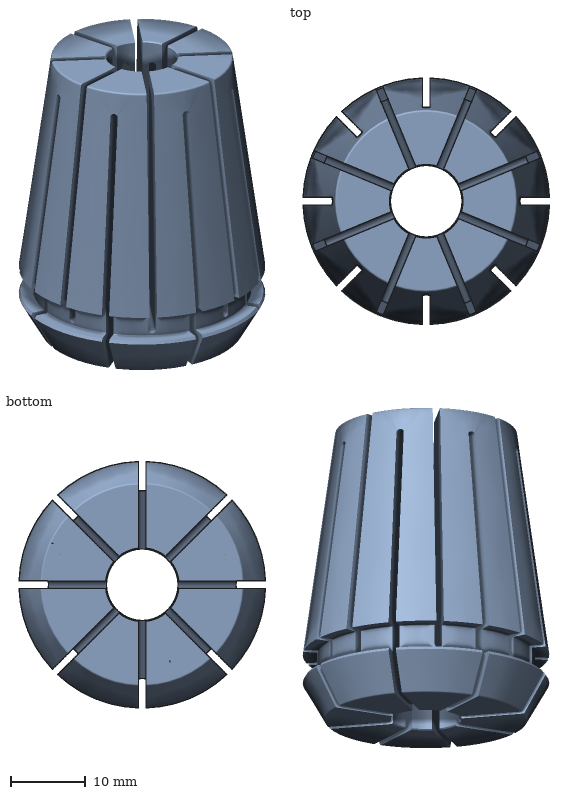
import cadquery as cq
import math

height = 40.0
bore_diameter = 9.5
bore_chamfer = 0.15
end_edge_fillet = 0.3

cone_base_radius = 16.5
cone_half_angle = 8.0
cone_base_z = 9.1
cone_taper = math.tan(math.radians(cone_half_angle))
cone_top_radius = cone_base_radius - (height - cone_base_z) * cone_taper

groove_radius = 14.55
groove_fillet = 0.1
groove_floor_z = 5.55

rim_radius = cone_base_radius
rim_z = 5.15
rim_top_radius = 16.25
nose_angle = 30.0
nose_radius = rim_radius - rim_z * math.tan(math.radians(nose_angle))

slots_per_end = 8
slot_width = 1.0
slot_corner_radius = 0.45
lower_slot_end_z = 37.0
upper_slot_end_z = 5.95
slot_reach = rim_radius + slot_width
slot_pitch = 360.0 / slots_per_end


def make_body():
    """Revolved outer shape with rounded end edges and groove corners."""
    profile = (
        cq.Workplane("XZ")
        .moveTo(0, 0)
        .lineTo(nose_radius, 0)
        .lineTo(rim_radius, rim_z)
        .lineTo(rim_top_radius, groove_floor_z)
        .lineTo(groove_radius, groove_floor_z)
        .lineTo(groove_radius, cone_base_z)
        .lineTo(cone_base_radius, cone_base_z)
        .lineTo(cone_top_radius, height)
        .lineTo(0, height)
        .close()
    )
    body = profile.revolve(360, (0, 0, 0), (0, 1, 0))
    body = body.faces("<Z or >Z").edges().fillet(end_edge_fillet)
    groove_wall = cq.selectors.BoxSelector(
        (-rim_radius, -rim_radius, groove_floor_z - groove_fillet),
        (rim_radius, rim_radius, cone_base_z + groove_fillet),
    )
    return body.faces(groove_wall).faces("%CYLINDER").edges("%CIRCLE").fillet(groove_fillet)


def bore_cutter():
    """Through bore with a light chamfer at both mouths."""
    bore_radius = bore_diameter / 2
    mouth_radius = bore_radius + bore_chamfer
    return (
        cq.Workplane("XZ")
        .moveTo(0, 0)
        .lineTo(mouth_radius, 0)
        .lineTo(bore_radius, bore_chamfer)
        .lineTo(bore_radius, height - bore_chamfer)
        .lineTo(mouth_radius, height)
        .lineTo(0, height)
        .close()
        .revolve(360, (0, 0, 0), (0, 1, 0))
    )


def radial_slot(closed_end_z, open_end_z, angle):
    """Slot cutter reaching outward from the axis, with rounded corners at its closed end."""
    depth = open_end_z - closed_end_z
    closed_end = "<Z" if depth > 0 else ">Z"
    return (
        cq.Workplane("YZ")
        .center(0, closed_end_z + depth / 2)
        .rect(slot_width, abs(depth))
        .extrude(slot_reach)
        .faces(closed_end)
        .edges("|X")
        .fillet(slot_corner_radius)
        .rotate((0, 0, 0), (0, 0, 1), angle)
    )


result = make_body().cut(bore_cutter())
for index in range(slots_per_end):
    lower_angle = index * slot_pitch
    upper_angle = lower_angle + slot_pitch / 2
    result = result.cut(radial_slot(lower_slot_end_z, 0, lower_angle))
    result = result.cut(radial_slot(upper_slot_end_z, height, upper_angle))